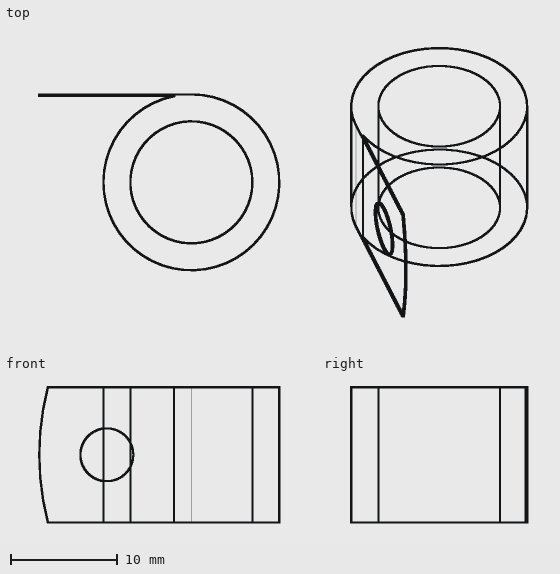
import cadquery as cq

total_length = 22.53
ring_diameter = 16.51
bore_diameter = 11.42
height = 12.7

tab_thickness = 0.15
tab_end_bulge = 0.8
hole_diameter = 4.95
hole_from_tip = 6.35

ring_radius = ring_diameter / 2
half_height = height / 2
tip_x = ring_radius - total_length
corner_x = tip_x + tab_end_bulge


def make_ring():
    """Cylindrical sleeve centred on the Z axis, mid-height at Z = 0."""
    return (
        cq.Workplane("XY", origin=(0, 0, -half_height))
        .circle(ring_radius)
        .circle(bore_diameter / 2)
        .extrude(height)
    )


def make_tab():
    """Thin plate tangent to the sleeve at +Y, with a bowed free end and a hole."""
    plate = (
        cq.Workplane("XZ", origin=(0, ring_radius, 0))
        .moveTo(0, -half_height)
        .lineTo(corner_x, -half_height)
        .threePointArc((tip_x, 0), (corner_x, half_height))
        .lineTo(0, half_height)
        .close()
        .extrude(tab_thickness)
    )
    hole = (
        cq.Workplane("XZ", origin=(0, ring_radius, 0))
        .center(tip_x + hole_from_tip, 0)
        .circle(hole_diameter / 2)
        .extrude(tab_thickness)
    )
    return plate.cut(hole)


result = make_ring().union(make_tab())